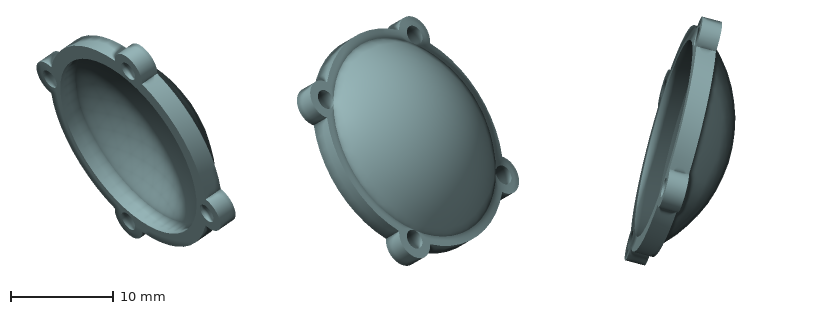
import cadquery as cq
import math

FLANGE_THICKNESS = 2.0
FLANGE_RADIUS = 11.5
OPENING_RADIUS = 10.0

EAR_COUNT = 4
EAR_RADIUS = 2.0
EAR_HOLE_DIAMETER = 2.0

DOME_RADIUS = 14.0
DOME_EDGE_WALL = 0.5
DOME_BASE_RADIUS = OPENING_RADIUS + DOME_EDGE_WALL


def disc(radius, length, x=0.0, y=0.0, z=0.0):
    """Cylinder along +Y that starts at the given point."""
    return cq.Workplane(cq.Solid.makeCylinder(radius, length, cq.Vector(x, y, z), cq.Vector(0, 1, 0)))


def dome_ball(base_radius):
    """Sphere that crosses the back face of the flange in a circle of base_radius."""
    centre_y = FLANGE_THICKNESS - math.sqrt(DOME_RADIUS**2 - base_radius**2)
    return cq.Workplane("XY").sphere(DOME_RADIUS).translate((0, centre_y, 0))


def make_flange():
    """Solid disc with its pierced ears."""
    angles = [2 * math.pi * i / EAR_COUNT for i in range(EAR_COUNT)]
    centres = [(FLANGE_RADIUS * math.cos(a), FLANGE_RADIUS * math.sin(a)) for a in angles]
    flange = disc(FLANGE_RADIUS, FLANGE_THICKNESS)
    for x, z in centres:
        flange = flange.union(disc(EAR_RADIUS, FLANGE_THICKNESS, x=x, z=z))
    for x, z in centres:
        flange = flange.cut(disc(EAR_HOLE_DIAMETER / 2, FLANGE_THICKNESS, x=x, z=z))
    return flange


def make_dome():
    """Solid spherical cap standing on the back face of the flange."""
    space_behind_flange = disc(FLANGE_RADIUS, DOME_RADIUS, y=FLANGE_THICKNESS)
    return dome_ball(DOME_BASE_RADIUS).intersect(space_behind_flange)


def make_cavity():
    """Straight round opening through the flange that ends in the inner sphere."""
    return dome_ball(OPENING_RADIUS).intersect(disc(OPENING_RADIUS, DOME_RADIUS))


result = make_flange().union(make_dome()).cut(make_cavity())